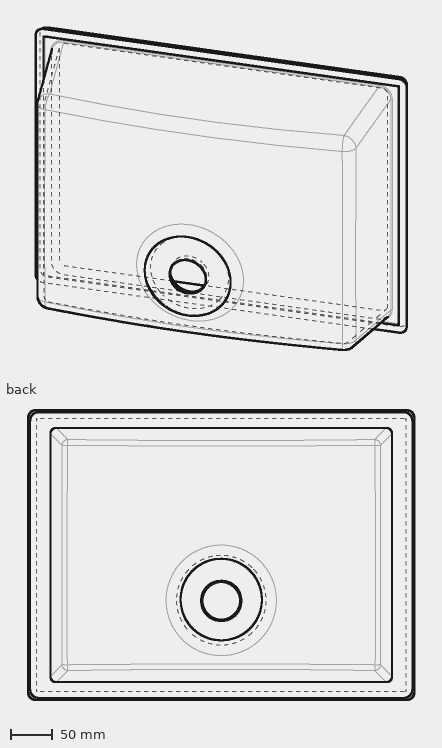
import cadquery as cq
import math


RIM_WIDTH = 455.0
RIM_HEIGHT = 340.0
RIM_DEPTH = 10.0
RIM_DRAFT = 15.0
RIM_CORNER_RADIUS = 10.0
LIP_WIDTH = 10.0
GROOVE_DEPTH = 1.5
GROOVE_FILLET = 1.4

BOWL_WIDTH = 423.0
BOWL_HEIGHT = 319.0
BOWL_DRAFT = 7.0
BOWL_FILLET = 15.0
BOWL_ROOT_FILLET = 1.5
WALL = 8.0

FLOOR_SIDE_DEPTH = 124.0
FLOOR_TOP_DEPTH = 135.0
FLOOR_BOTTOM_DEPTH = 137.0
FLOOR_LOW_POINT_DEPTH = 145.5

DRAIN_Z = -54.5
DRAIN_DEPTH = 153.0
DRAIN_RADIUS = 52.5
DRAIN_FILLET = 15.0
DRAIN_HOLE_RADIUS = 22.5
HOLE_LAND = 4.0
HOLE_FLARE_ANGLE = 20.0

PICK_MARGIN = 5.0
PLANE_TOLERANCE = 0.1


def tapered_block(width, height, depth, draft, start=0.0):
    """Rectangle at depth start, extruded along -Y (or +Y if depth is negative), narrowing by draft."""
    return (
        cq.Workplane("XZ")
        .workplane(offset=start)
        .rect(width, height)
        .extrude(depth, taper=draft)
    )


def drain_disc(radius, depth):
    """Cylinder on the drain axis, from the rim's back face to the given depth."""
    return cq.Workplane("XZ").center(0, DRAIN_Z).circle(radius).extrude(depth)


def floor_block(inset):
    """Everything on the rim side of the crowned floor, raised by inset."""
    half_width = BOWL_WIDTH / 2
    half_height = BOWL_HEIGHT / 2
    side_y = inset - FLOOR_SIDE_DEPTH
    top_left = cq.Vector(-half_width, side_y, half_height)
    top_middle = cq.Vector(0, inset - FLOOR_TOP_DEPTH, half_height)
    top_right = cq.Vector(half_width, side_y, half_height)
    bottom_right = cq.Vector(half_width, side_y, -half_height)
    bottom_middle = cq.Vector(0, inset - FLOOR_BOTTOM_DEPTH, -half_height)
    bottom_left = cq.Vector(-half_width, side_y, -half_height)
    edges = [
        cq.Edge.makeThreePointArc(top_left, top_middle, top_right),
        cq.Edge.makeLine(top_right, bottom_right),
        cq.Edge.makeThreePointArc(bottom_right, bottom_middle, bottom_left),
        cq.Edge.makeLine(bottom_left, top_left),
    ]
    low_point = cq.Vector(0, inset - FLOOR_LOW_POINT_DEPTH, DRAIN_Z)
    surface = cq.Face.makeNSidedSurface(edges, [low_point])
    return cq.Workplane(cq.Solid.extrudeLinear(surface, cq.Vector(0, DRAIN_DEPTH, 0)))


def drain_junction(inset):
    """Picks the edge where the drain boss leaves the floor."""
    return cq.selectors.BoxSelector(
        (-DRAIN_RADIUS, inset - FLOOR_LOW_POINT_DEPTH - PICK_MARGIN, DRAIN_Z - DRAIN_RADIUS),
        (DRAIN_RADIUS, inset - FLOOR_TOP_DEPTH, DRAIN_Z + DRAIN_RADIUS),
    )


def bowl(inset):
    """Solid bowl with its walls, floor and drain lying inset inside the outer surface."""
    wall_inset = inset / math.cos(math.radians(BOWL_DRAFT))
    width = BOWL_WIDTH - 2 * wall_inset
    height = BOWL_HEIGHT - 2 * wall_inset
    body = tapered_block(width, height, DRAIN_DEPTH, BOWL_DRAFT).intersect(floor_block(inset))
    body = body.edges("not(>Y)").fillet(BOWL_FILLET - inset)
    body = body.union(drain_disc(DRAIN_RADIUS - inset, DRAIN_DEPTH + DRAIN_FILLET))
    body = body.edges(drain_junction(inset)).fillet(DRAIN_FILLET + inset)
    return body.intersect(tapered_block(RIM_WIDTH, RIM_HEIGHT, DRAIN_DEPTH - inset, 0))


def rim():
    """Drafted plate with rounded corners and a groove sunk into its front face."""
    spread = 2 * RIM_DEPTH * math.tan(math.radians(RIM_DRAFT))
    face_width = RIM_WIDTH + spread
    face_height = RIM_HEIGHT + spread
    plate = tapered_block(face_width, face_height, -RIM_DEPTH, RIM_DRAFT, RIM_DEPTH)
    plate = plate.edges("not(#Y)").fillet(RIM_CORNER_RADIUS)
    groove_width = face_width - 2 * LIP_WIDTH
    groove_height = face_height - 2 * LIP_WIDTH
    groove = tapered_block(groove_width, groove_height, -GROOVE_DEPTH, 0, RIM_DEPTH)
    return plate.cut(groove.faces(">Y").edges().fillet(GROOVE_FILLET))


def round_bowl_root(body):
    """Fillet where the bowl walls meet the groove floor."""
    groove_floor_y = GROOVE_DEPTH - RIM_DEPTH
    root = cq.selectors.BoxSelector(
        (-BOWL_WIDTH / 2, groove_floor_y - PLANE_TOLERANCE, -BOWL_HEIGHT / 2),
        (BOWL_WIDTH / 2, groove_floor_y + PLANE_TOLERANCE, BOWL_HEIGHT / 2),
    )
    return body.edges(root).fillet(BOWL_ROOT_FILLET)


def drain_hole():
    """Straight hole through the drain plate, widening toward the inside of the bowl."""
    flare_depth = WALL - HOLE_LAND
    inner_radius = DRAIN_HOLE_RADIUS + flare_depth * math.tan(math.radians(HOLE_FLARE_ANGLE))
    flare = (
        cq.Workplane("XZ")
        .workplane(offset=DRAIN_DEPTH - WALL)
        .center(0, DRAIN_Z)
        .circle(inner_radius)
        .extrude(flare_depth, taper=HOLE_FLARE_ANGLE)
    )
    return drain_disc(DRAIN_HOLE_RADIUS, DRAIN_DEPTH).union(flare)


outer = round_bowl_root(rim().union(bowl(0)))
result = outer.cut(bowl(WALL)).cut(drain_hole())